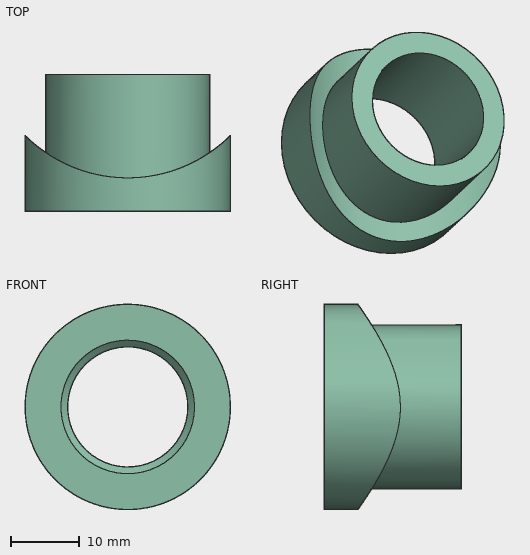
import cadquery as cq

total_length = 20.0
flange_diameter = 30.0
spigot_diameter = 24.0
bore_diameter = 17.5
chamfer_size = 1.0

saddle_tube_diameter = 42.4
flange_min_thickness = 4.9


def cylinder_along_y(diameter, length):
    """Solid cylinder from the front face toward +Y."""
    return cq.Workplane("XZ").circle(diameter / 2).extrude(-length)


def saddle_tube():
    """Vertical cylinder that touches the flange at its thinnest section."""
    center_y = flange_min_thickness + saddle_tube_diameter / 2
    return (
        cq.Workplane("XY")
        .center(0, center_y)
        .circle(saddle_tube_diameter / 2)
        .extrude(flange_diameter, both=True)
    )


def saddle_flange():
    """Round flange with a concave back."""
    return cylinder_along_y(flange_diameter, total_length).cut(saddle_tube())


def bore():
    """Through bore with a 45 degree chamfer at the front face."""
    mouth_diameter = bore_diameter + 2 * chamfer_size
    mouth = cq.Workplane("XZ").circle(mouth_diameter / 2).workplane(offset=-chamfer_size)
    mouth = mouth.circle(bore_diameter / 2).loft()
    return cylinder_along_y(bore_diameter, total_length).union(mouth)


spigot = cylinder_along_y(spigot_diameter, total_length)
result = saddle_flange().union(spigot).cut(bore())